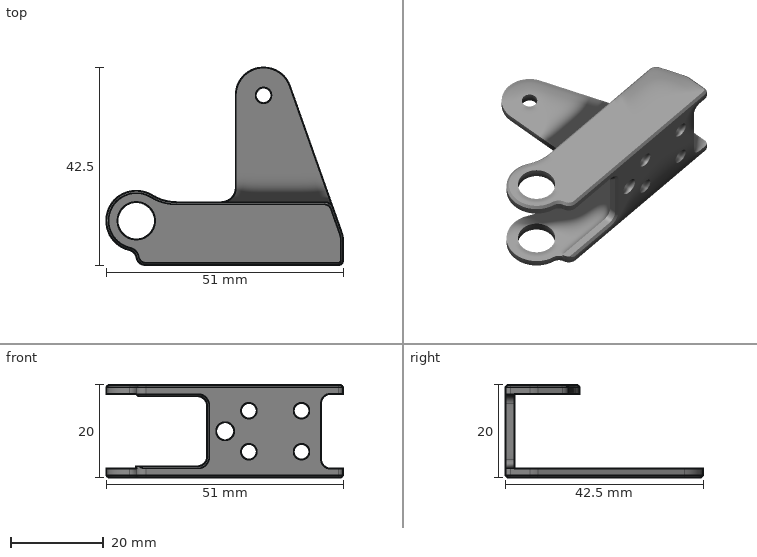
import cadquery as cq
import math

length = 51.0
depth = 42.55
height = 20.0
sheet = 2.0
edge_chamfer = 0.5
chamfer_angle = 45

eye_radius = 6.5
eye_bore = 8.0
eye_x = eye_radius
eye_y = 9.55
neck_radius = 10.0

flange_depth = 13.55
foot_radius = 2.0
foot_x = 8.45
front_corner_radius = 1.0
taper_start_y = 6.1
taper_corner_radius = 5.0
rear_corner_radius = 2.0

arm_radius = 6.0
arm_left = 27.85
arm_x = arm_left + arm_radius
arm_y = depth - arm_radius
arm_hole = 3.3
arm_root_radius = 3.0

left_window_x = 21.7
right_window_x = 46.25
window_radius = 2.0
mount_hole = 3.3
mount_columns = (30.7, 42.0)
mount_pitch = 8.8
center_hole = 3.8
center_hole_x = 25.6


def toward(start, end, distance):
    """Point at a given distance from start in the direction of end."""
    span = math.dist(start, end)
    return tuple(a + (b - a) * distance / span for a, b in zip(start, end))


def arc_middle(center, start, end, radius):
    """Middle of the shorter arc from start to end."""
    chord_middle = tuple((a + b) / 2 for a, b in zip(start, end))
    return toward(center, chord_middle, radius)


eye = (eye_x, eye_y)
arm_tip = (arm_x, arm_y)
taper_start = (length, taper_start_y)

tip_distance = math.dist(arm_tip, taper_start)
tip_angle = math.atan2(taper_start_y - arm_y, length - arm_x) + math.acos(arm_radius / tip_distance)
taper_end = (arm_x + arm_radius * math.cos(tip_angle), arm_y + arm_radius * math.sin(tip_angle))
taper_run = (length - taper_end[0]) / (taper_end[1] - taper_start_y)
rear_corner = (length - taper_run * (flange_depth - taper_start_y), flange_depth)

neck_center_y = flange_depth + neck_radius
neck_reach = math.sqrt((eye_radius + neck_radius) ** 2 - (neck_center_y - eye_y) ** 2)
neck_center = (eye_x + neck_reach, neck_center_y)
neck_end = (neck_center[0], flange_depth)
neck_start = toward(eye, neck_center, eye_radius)

foot_center = (foot_x, foot_radius)
eye_to_hollow = eye_radius + foot_radius
foot_to_hollow = 2 * foot_radius
eye_to_foot = math.dist(eye, foot_center)
hollow_cosine = (eye_to_hollow**2 + eye_to_foot**2 - foot_to_hollow**2) / (2 * eye_to_hollow * eye_to_foot)
hollow_angle = math.atan2(foot_radius - eye_y, foot_x - eye_x) - math.acos(hollow_cosine)
hollow_center = (
    eye_x + eye_to_hollow * math.cos(hollow_angle),
    eye_y + eye_to_hollow * math.sin(hollow_angle),
)
hollow_start = toward(eye, hollow_center, eye_radius)
hollow_end = toward(foot_center, hollow_center, foot_radius)
foot_end = (foot_x, 0)


def left_outline():
    """Open outline from the rear edge, around the eye and foot, to the front right corner."""
    return (
        cq.Workplane("XY")
        .moveTo(*neck_end)
        .threePointArc(arc_middle(neck_center, neck_end, neck_start, neck_radius), neck_start)
        .threePointArc((eye_x - eye_radius, eye_y), hollow_start)
        .threePointArc(arc_middle(hollow_center, hollow_start, hollow_end, foot_radius), hollow_end)
        .threePointArc(arc_middle(foot_center, hollow_end, foot_end, foot_radius), foot_end)
        .lineTo(length, 0)
    )


def round_corner(body, corner, radius):
    """Round the upright edge of a plate standing at the given corner."""
    nearest = cq.NearestToPointSelector((*corner, sheet / 2))
    return body.edges("|Z").edges(nearest).fillet(radius)


def round_right_end(body):
    body = round_corner(body, (length, 0), front_corner_radius)
    return round_corner(body, taper_start, taper_corner_radius)


def cylinder_z(center, diameter):
    return cq.Workplane("XY").center(*center).circle(diameter / 2).extrude(height)


def upper_flange():
    plate = left_outline().lineTo(*taper_start).lineTo(*rear_corner).close().extrude(sheet)
    plate = round_right_end(plate)
    plate = round_corner(plate, rear_corner, rear_corner_radius)
    plate = plate.faces(">Z").chamfer(edge_chamfer)
    return plate.translate((0, 0, height - sheet))


def lower_flange():
    arm_root = (arm_left, flange_depth)
    arm_start = (arm_left, arm_y)
    plate = (
        left_outline()
        .lineTo(*taper_start)
        .lineTo(*taper_end)
        .threePointArc((arm_x, arm_y + arm_radius), arm_start)
        .lineTo(*arm_root)
        .close()
        .extrude(sheet)
    )
    plate = round_right_end(plate)
    plate = round_corner(plate, arm_root, arm_root_radius)
    plate = plate.faces("<Z").chamfer(edge_chamfer)
    return plate.cut(cylinder_z(arm_tip, arm_hole))


def window(center_x, half_width, window_height, radius, depth, taper=0):
    """Rounded window cutter running in +Y from the front face of the web."""
    front = cq.Plane(origin=(center_x, 0, height / 2), xDir=(-1, 0, 0), normal=(0, 1, 0))
    outline = cq.Sketch().rect(2 * half_width, window_height).vertices().fillet(radius)
    return cq.Workplane(front).placeSketch(outline).extrude(depth, taper=taper)


def bevel_upper_foot(plate):
    """Carry the bevel of the upper lip around the rounded foot."""
    region = cq.Workplane("XY").box(foot_x, sheet, edge_chamfer, centered=False)
    region = region.translate((0, 0, height - sheet - edge_chamfer))
    beveled = left_outline().lineTo(length, flange_depth).close().extrude(sheet)
    beveled = beveled.faces("<Z").chamfer(edge_chamfer)
    beveled = beveled.translate((0, 0, height - sheet - edge_chamfer))
    return plate.cut(region.cut(beveled))


def web():
    inner_height = height - 2 * sheet
    plate = left_outline().lineTo(length, flange_depth).close().extrude(inner_height)
    plate = plate.intersect(cq.Workplane("XY").box(length, sheet, inner_height, centered=False))
    plate = plate.translate((0, 0, sheet))

    left_height = inner_height - 2 * edge_chamfer
    plate = plate.cut(window(0, left_window_x, left_height, window_radius, sheet))
    rim_half_width = left_window_x + edge_chamfer
    rim_radius = window_radius + edge_chamfer
    plate = plate.cut(window(0, rim_half_width, inner_height, rim_radius, edge_chamfer, chamfer_angle))
    plate = bevel_upper_foot(plate)

    plate = plate.cut(window(length, length - right_window_x, inner_height, window_radius, sheet))

    holes = [(center_hole_x, height / 2, center_hole)]
    for x in mount_columns:
        for side in (-1, 1):
            holes.append((x, height / 2 + side * mount_pitch / 2, mount_hole))
    for x, z, diameter in holes:
        drill = cq.Workplane("XZ").center(x, z).circle(diameter / 2).extrude(-sheet)
        plate = plate.cut(drill)
    return plate


result = lower_flange().union(web()).union(upper_flange()).cut(cylinder_z(eye, eye_bore))